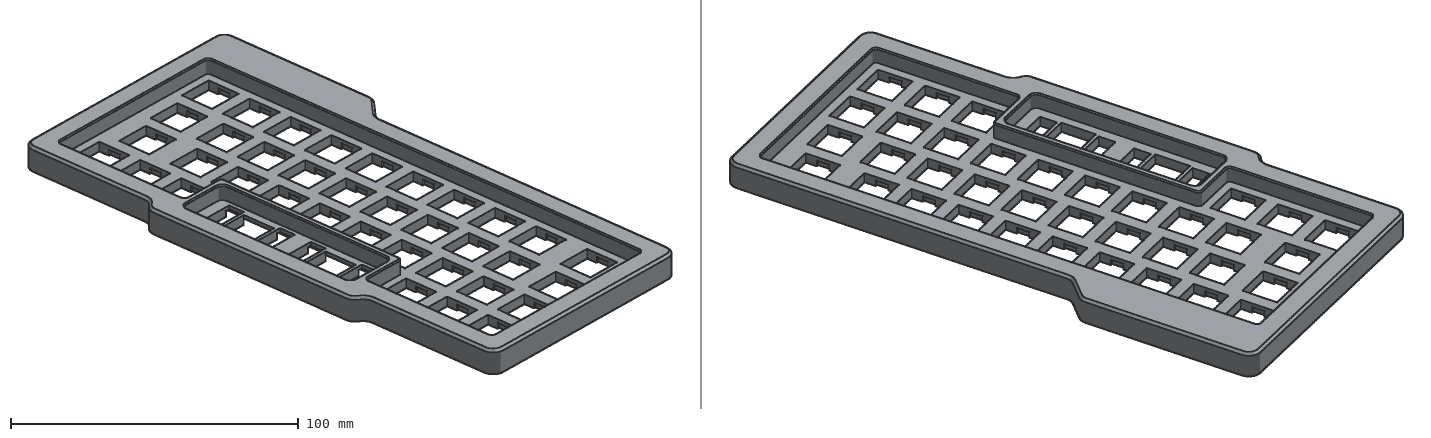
import cadquery as cq
import math

length = 219.5
depth = 109.5
height = 10.0
wall = 8.8
corner_radius = 4.8
top_chamfer = 1.0
bottom_chamfer = 0.5

units_across = 10.5
row_count = 4
grid_length = 200.0
pitch = grid_length / units_across
key_gap = 5.0
switch_size = pitch - key_gap
plate_thickness = 4.0

clip_width = 5.0
clip_recess = 0.9
ledge_thickness = 1.5
ledge_bottom = plate_thickness - ledge_thickness

pocket_length = length - 2 * wall
pocket_margin = (pocket_length - grid_length) / 2
pocket_depth = row_count * pitch + 2 * pocket_margin
pocket_radius = 1.5
rim_chamfer = 0.5

thumb_length = 78.5
thumb_radius = 2.5
divider = 2.9
notch_length = thumb_length + 2 * divider

thumb_key_drop = 4.6
slot_length = 6.8
slot_depth = 15.0
slot_offset = 11.9
slot_lift = 1.0
undercut_depth = 3.7
undercut_side = 6.0
undercut_length = 2 * (slot_offset + undercut_side)

back_left = depth / 2
tab_front = -depth / 2
tab_drop = 4.6
front = tab_front + tab_drop
pocket_front = front + wall
pocket_back = pocket_front + pocket_depth
back = pocket_back + wall
notch_back = pocket_front + pitch
thumb_front = tab_front + wall
thumb_back = notch_back - divider

step_start = -41.7
step_angle = math.radians(45)
step_arc_run = corner_radius * math.sin(step_angle)
step_arc_drop = corner_radius * (1 - math.cos(step_angle))
step_slope = back_left - back - 2 * step_arc_drop
tab_half = 44.8
tab_arc_drop = tab_drop / 2
tab_arc_run = math.sqrt(corner_radius**2 - (corner_radius - tab_arc_drop) ** 2)

key_rows = [
    [0.5 + i for i in range(9)] + [9.75],
    [0.625] + [1.75 + i for i in range(8)] + [9.875],
    [0.75] + [2 + i for i in range(9)],
    [0.5, 1.5, 2.5, 8, 9, 10],
]


def case_body():
    """Outer block with its back step and front tab."""
    right = length / 2
    r = corner_radius
    outline = (
        cq.Workplane("XY")
        .moveTo(-right + r, back_left)
        .lineTo(step_start, back_left)
        .tangentArcPoint((step_arc_run, -step_arc_drop))
        .line(step_slope, -step_slope)
        .tangentArcPoint((step_arc_run, -step_arc_drop))
        .lineTo(right - r, back)
        .tangentArcPoint((r, -r))
        .lineTo(right, front + r)
        .tangentArcPoint((-r, -r))
        .lineTo(tab_half + 2 * tab_arc_run, front)
        .tangentArcPoint((-tab_arc_run, -tab_arc_drop))
        .tangentArcPoint((-tab_arc_run, -tab_arc_drop))
        .lineTo(-tab_half, tab_front)
        .tangentArcPoint((-tab_arc_run, tab_arc_drop))
        .tangentArcPoint((-tab_arc_run, tab_arc_drop))
        .lineTo(-right + r, front)
        .tangentArcPoint((-r, r))
        .lineTo(-right, back_left - r)
        .tangentArcPoint((r, r))
        .close()
    )
    body = outline.extrude(height)
    return body.faces(">Z").chamfer(top_chamfer).faces("<Z").chamfer(bottom_chamfer)


def box(x_size, y_size, x, y, bottom, top):
    """Upright box centered on x, y between two heights."""
    block = cq.Workplane("XY").box(x_size, y_size, top - bottom, centered=(True, True, False))
    return block.translate((x, y, bottom))


def pocket_block(x_size, y_front, y_back):
    """Block from the switch plate up to the top of the case, centered in X."""
    y = (y_front + y_back) / 2
    return box(x_size, y_back - y_front, 0, y, plate_thickness, height)


def main_pocket():
    pocket = pocket_block(pocket_length, pocket_front, pocket_back)
    pocket = pocket.cut(pocket_block(notch_length, pocket_front, notch_back))
    return pocket.edges("|Z").fillet(pocket_radius)


def thumb_pocket():
    pocket = pocket_block(thumb_length, thumb_front, thumb_back)
    return pocket.edges("|Z").fillet(thumb_radius)


def plate_hole(x_size, y_size, x, y):
    return box(x_size, y_size, x, y, 0, plate_thickness)


def switch_hole(x, y):
    """Square hole with clip recesses under its front and back edges."""
    hole = plate_hole(switch_size, switch_size, x, y)
    return hole.union(box(clip_width, switch_size + 2 * clip_recess, x, y, 0, ledge_bottom))


def thumb_key(x, y):
    """Switch hole between two stabilizer slots, with one undercut behind all three."""
    holes = plate_hole(switch_size, switch_size, x, y)
    for side in (-1, 1):
        holes = holes.union(plate_hole(slot_length, slot_depth, x + side * slot_offset, y + slot_lift))
    undercut_y = y + (switch_size + undercut_depth) / 2
    return holes.union(box(undercut_length, undercut_depth, x, undercut_y, 0, ledge_bottom))


def rim_region():
    """Selector for the top edges of both pockets, leaving out the outline of the case."""
    margin = rim_chamfer
    x = pocket_length / 2 + margin
    lower_corner = (-x, thumb_front - margin, height - margin)
    upper_corner = (x, pocket_back + margin, height + margin)
    return cq.selectors.BoxSelector(lower_corner, upper_corner)


result = case_body().cut(main_pocket()).cut(thumb_pocket())
result = result.edges(rim_region()).chamfer(rim_chamfer)

first_row = pocket_back - pocket_margin - pitch / 2
for row, centers in enumerate(key_rows):
    for center in centers:
        result = result.cut(switch_hole(center * pitch - grid_length / 2, first_row - row * pitch))

thumb_row = first_row - (row_count - 1) * pitch - thumb_key_drop
for x in (-pitch, pitch):
    result = result.cut(thumb_key(x, thumb_row))